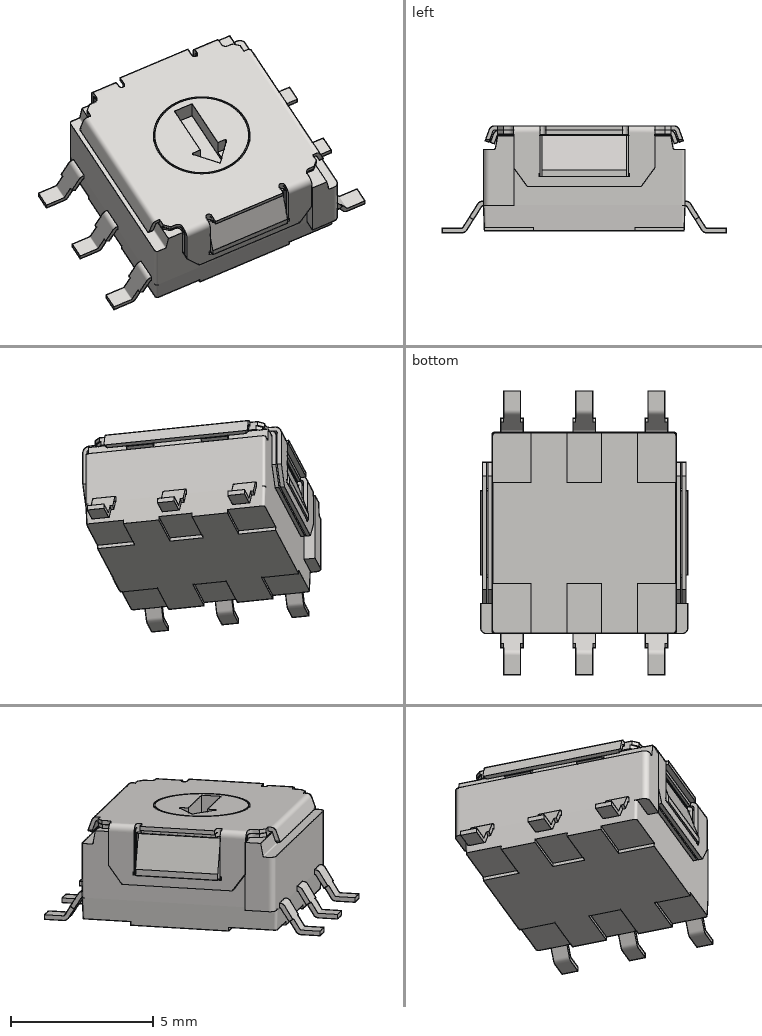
import cadquery as cq
import math

total_length = 10.0
total_width = 7.3
total_height = 3.77

base_bottom = 0.07
split_height = 0.97
case_width = 6.5
case_length = 7.1
shoulder_height = 2.94
case_top = 3.43
case_top_half_length = 3.05
shoulder_half_length = 3.14
shoulder_root_radius = 0.05
rib_start = 2.48
rib_corner_radius = 0.21
case_corner_radius = 0.1
base_draft_angle = 2.0

recess_height = 0.13
recess_inner_y = 1.78
recess_center_half_width = 0.6
recess_side_inner_x = 1.88

latch_half_length = 1.49
latch_bottom = 1.99
latch_nose_height = 2.22

terminal_pitch = 2.54
terminal_thickness = 0.17
terminal_wide = 0.8
terminal_narrow = 0.6
terminal_top = 1.12
terminal_root_y = 3.4
terminal_shoulder_y = 3.69
terminal_foot_y = 4.29
terminal_neck_drop = 0.56
terminal_bend_radius = 0.04

sheet_thickness = 0.15
skirt_slope = math.radians(70)
skirt_width = 5.18
skirt_corner_chamfer = 0.09
skirt_bend_radius = 0.05
outer_skirt_corner_y = 3.3
outer_skirt_length = 0.56
inner_tab_corner_y = 3.15
inner_tab_length = 0.46
inner_tab_width = 0.96
inner_tab_offset = 1.35
outer_half_width = 3.59
inner_half_width = 3.39
outer_side_bend_radius = 0.1
inner_side_bend_radius = 0.02
outer_plate_half_width = 3.06
inner_plate_half_width = 3.0
plate_half_length = 3.05
plate_corner_chamfer = 0.2
plate_notch_radius = 0.16
side_half_length = 2.49
side_bottom = 1.63
side_chamfer_width = 0.49
side_chamfer_height = 0.67
window_half_length = 1.56
window_tab_half_length = 1.35
window_slot_end = 3.18
window_relief_width = 0.04
window_relief_height = 0.11

rotor_diameter = 3.3
rotor_hole_diameter = 3.4
rotor_height = 1.2
arrow_tail_x = -1.39
arrow_tip_x = 1.39
arrow_shaft_half_width = 0.35
arrow_head_back_x = 0.55
arrow_head_half_width = 0.66
arrow_head_flat = 0.06
arrow_head_depth = 0.56
arrow_shaft_depth = 0.7


def block(x_range, y_range, z_range):
    """Axis-aligned box between the given limits."""
    size = [high - low for low, high in (x_range, y_range, z_range)]
    corner = (x_range[0], y_range[0], z_range[0])
    return cq.Workplane("XY").box(*size, centered=False).translate(corner)


def turned(shape, angle):
    """Shape turned about the vertical axis."""
    return shape.rotate((0, 0, 0), (0, 0, 1), angle)


def bent_strip(path, thickness, width, inner_radius):
    """Sheet strip running toward +Y; path lists the (Y, Z) corners of its upper surface."""
    normals = []
    for (y0, z0), (y1, z1) in zip(path, path[1:]):
        length = math.hypot(y1 - y0, z1 - z0)
        normals.append(((z1 - z0) / length, (y0 - y1) / length))
    before = [normals[0]] + normals
    after = normals + [normals[-1]]
    underside = []
    for (y, z), (ay, az), (by, bz) in zip(path, before, after):
        miter = thickness / (1 + ay * by + az * bz)
        underside.append((y + miter * (ay + by), z + miter * (az + bz)))

    outline = path + underside[::-1]
    strip = cq.Workplane("YZ").polyline(outline).close().extrude(width / 2, both=True)
    outer_radius = inner_radius + thickness
    for i in range(1, len(path) - 1):
        bends_down = before[i][0] * after[i][1] - before[i][1] * after[i][0] < 0
        upper_radius = outer_radius if bends_down else inner_radius
        lower_radius = inner_radius if bends_down else outer_radius
        for (y, z), radius in ((path[i], upper_radius), (underside[i], lower_radius)):
            strip = strip.edges(cq.selectors.NearestToPointSelector((0, y, z))).fillet(radius)
    return strip


def make_case():
    half_length = case_length / 2
    right_side = [
        (half_length, split_height),
        (half_length, shoulder_height),
        (shoulder_half_length, shoulder_height),
        (case_top_half_length, case_top),
    ]
    left_side = [(-y, z) for y, z in reversed(right_side)]
    case = cq.Workplane("YZ").polyline(right_side + left_side).close().extrude(total_width / 2, both=True)
    for y in (-shoulder_half_length, shoulder_half_length):
        root = cq.selectors.NearestToPointSelector((0, y, shoulder_height))
        case = case.edges(root).fillet(shoulder_root_radius)

    for side in (-1, 1):
        x_range = sorted((side * case_width / 2, side * total_width))
        case = case.cut(block(x_range, (-total_length, rib_start), (0, total_height)))
    case = case.edges("|Z and <Y").fillet(case_corner_radius)
    case = case.edges("|Z and >Y").fillet(rib_corner_radius)
    return case


def make_latches():
    nose = total_width / 2
    root = case_width / 2
    profile = [
        (-root, case_top),
        (-nose, latch_nose_height),
        (-nose, latch_bottom),
        (nose, latch_bottom),
        (nose, latch_nose_height),
        (root, case_top),
    ]
    return cq.Workplane("XZ").polyline(profile).close().extrude(latch_half_length, both=True)


def make_base():
    base = (
        cq.Workplane("XY")
        .workplane(offset=split_height)
        .rect(case_width, case_length)
        .extrude(base_bottom - split_height, taper=base_draft_angle)
    )
    base = base.edges("not(|X or |Y)").fillet(case_corner_radius)

    recess_spans = (
        (-total_width, -recess_side_inner_x),
        (-recess_center_half_width, recess_center_half_width),
        (recess_side_inner_x, total_width),
    )
    recess_z = (base_bottom, base_bottom + recess_height)
    for x_range in recess_spans:
        for y_range in ((recess_inner_y, total_length), (-total_length, -recess_inner_y)):
            base = base.cut(block(x_range, y_range, recess_z))
    return base


def make_terminal():
    """Gull-wing terminal on the rear side, wide at the case and narrow at the foot."""
    path = [
        (terminal_root_y, terminal_top),
        (terminal_shoulder_y, terminal_top),
        (terminal_foot_y, terminal_thickness),
        (total_length / 2, terminal_thickness),
    ]
    narrow = bent_strip(path, terminal_thickness, terminal_narrow, terminal_bend_radius)

    run = terminal_foot_y - terminal_shoulder_y
    drop = terminal_top - terminal_thickness
    neck_y = terminal_shoulder_y + run * terminal_neck_drop / drop
    neck_path = path[:2] + [(neck_y, terminal_top - terminal_neck_drop)]
    wide = bent_strip(neck_path, terminal_thickness, terminal_wide, terminal_bend_radius)
    return narrow.union(wide)


def make_plate(top, half_width, edge_half_width):
    """Flat top of one sheet, with four notched corners."""
    z_range = (top - sheet_thickness, top)
    middle = block((-half_width, half_width), (-plate_half_length, plate_half_length), z_range)
    middle = middle.edges("|Z").chamfer(plate_corner_chamfer)
    x_range = (-edge_half_width, edge_half_width)
    plate = middle.union(block(x_range, (-side_half_length, side_half_length), z_range))
    for x in (-half_width, half_width):
        for y in (-side_half_length, side_half_length):
            notch = cq.selectors.NearestToPointSelector((x, y, top - sheet_thickness / 2))
            plate = plate.edges(notch).fillet(plate_notch_radius)
    return plate


def make_side_skirt(top, half_width, bend_radius):
    """Vertical skirt on the +X side with clipped lower corners."""
    path = [(outer_plate_half_width, top), (half_width, top), (half_width, side_bottom)]
    skirt = bent_strip(path, sheet_thickness, 2 * side_half_length, bend_radius)
    for side in (-1, 1):
        corner = side * side_half_length
        clip = [
            (corner, side_bottom),
            (corner, side_bottom + side_chamfer_height),
            (corner - side * side_chamfer_width, side_bottom),
        ]
        skirt = skirt.cut(cq.Workplane("XZ").polyline(clip).close().extrude(-total_length))
    return turned(skirt, -90)


def make_window_cutter():
    """Opening over the +X latch: rounded slot ends above, relieved corners below."""
    slot_width = window_half_length - window_tab_half_length
    slot_center_x = window_slot_end + slot_width / 2
    slot_center_y = window_tab_half_length + slot_width / 2
    x_range = (slot_center_x, total_width)
    window_y = (-window_half_length, window_half_length)
    cutter = block(x_range, window_y, (latch_bottom, total_height))
    cutter = cutter.union(block((case_width / 2, total_width), window_y, (latch_bottom, case_top)))
    relief_half_length = window_half_length + window_relief_width
    relief_z = (latch_bottom, latch_bottom + window_relief_height)
    cutter = cutter.union(block(x_range, (-relief_half_length, relief_half_length), relief_z))
    slot_ends = (
        cq.Workplane("XY")
        .workplane(offset=latch_bottom)
        .pushPoints([(slot_center_x, -slot_center_y), (slot_center_x, slot_center_y)])
        .circle(slot_width / 2)
        .extrude(total_height - latch_bottom)
    )
    return cutter.union(slot_ends)


def make_sheet(top, plate_half_width, half_width, side_bend_radius):
    """One cover sheet without its front and rear skirts."""
    bend_start = half_width - side_bend_radius - sheet_thickness
    sheet = make_plate(top, plate_half_width, bend_start)
    for angle in (0, 180):
        sheet = sheet.union(turned(make_side_skirt(top, half_width, side_bend_radius), angle))
        sheet = sheet.cut(turned(make_window_cutter(), angle))
    tab_z = (top - sheet_thickness, top)
    tab_y = (-window_tab_half_length, window_tab_half_length)
    return sheet.union(block((-half_width, half_width), tab_y, tab_z))


def make_sloped_skirt(top, corner_y, length, width):
    """Skirt on the rear side, bent down and outward."""
    path = [
        (plate_half_length - sheet_thickness, top),
        (corner_y, top),
        (corner_y + length * math.cos(skirt_slope), top - length * math.sin(skirt_slope)),
    ]
    return bent_strip(path, sheet_thickness, width, skirt_bend_radius)


def make_outer_skirt(top):
    skirt = make_sloped_skirt(top, outer_skirt_corner_y, outer_skirt_length, skirt_width)
    bottom = skirt.val().BoundingBox().zmin
    x_range = (-skirt_width / 2, skirt_width / 2)
    silhouette = block(x_range, (0, total_length), (bottom, total_height))
    return skirt.intersect(silhouette.edges("|Y and <Z").chamfer(skirt_corner_chamfer))


def make_inner_tabs(top):
    tab = make_sloped_skirt(top, inner_tab_corner_y, inner_tab_length, inner_tab_width)
    return tab.translate((-inner_tab_offset, 0, 0)).union(tab.translate((inner_tab_offset, 0, 0)))


def make_cover():
    inner_top = total_height - sheet_thickness
    outer = make_sheet(total_height, outer_plate_half_width, outer_half_width, outer_side_bend_radius)
    inner = make_sheet(inner_top, inner_plate_half_width, inner_half_width, inner_side_bend_radius)
    cover = outer.union(inner)
    for angle in (0, 180):
        cover = cover.union(turned(make_outer_skirt(total_height), angle))
        cover = cover.union(turned(make_inner_tabs(inner_top), angle))
    return cover


def make_housing():
    """Fixed body: case, base, terminals and cover."""
    housing = make_case().union(make_latches()).union(make_base()).union(make_cover())
    terminal = make_terminal()
    for x in (-terminal_pitch, 0, terminal_pitch):
        for angle in (0, 180):
            housing = housing.union(turned(terminal.translate((x, 0, 0)), angle))
    rotor_well = (
        cq.Workplane("XY")
        .workplane(offset=total_height)
        .circle(rotor_hole_diameter / 2)
        .extrude(-rotor_height)
    )
    return housing.cut(rotor_well)


def make_rotor():
    """Rotor standing on the floor of its well, with an arrow-shaped driver slot."""
    top = cq.Workplane("XY").workplane(offset=total_height)
    rotor = top.circle(rotor_diameter / 2).extrude(-rotor_height)
    head_flat_end = arrow_head_back_x + arrow_head_flat
    head = (
        top.moveTo(arrow_head_back_x, -arrow_head_half_width)
        .lineTo(head_flat_end, -arrow_head_half_width)
        .lineTo(arrow_tip_x, 0)
        .lineTo(head_flat_end, arrow_head_half_width)
        .lineTo(arrow_head_back_x, arrow_head_half_width)
        .close()
        .extrude(-arrow_head_depth)
    )
    head_slope = arrow_head_half_width / (arrow_tip_x - head_flat_end)
    shaft_end_x = arrow_tip_x - arrow_shaft_half_width / head_slope
    shaft = (
        top.moveTo(arrow_tail_x, -arrow_shaft_half_width)
        .lineTo(shaft_end_x, -arrow_shaft_half_width)
        .lineTo(arrow_tip_x, 0)
        .lineTo(shaft_end_x, arrow_shaft_half_width)
        .lineTo(arrow_tail_x, arrow_shaft_half_width)
        .close()
        .extrude(-arrow_shaft_depth)
    )
    return rotor.cut(head).cut(shaft)


housing = make_housing()
rotor = make_rotor()
result = cq.Compound.makeCompound([housing.val(), rotor.val()])